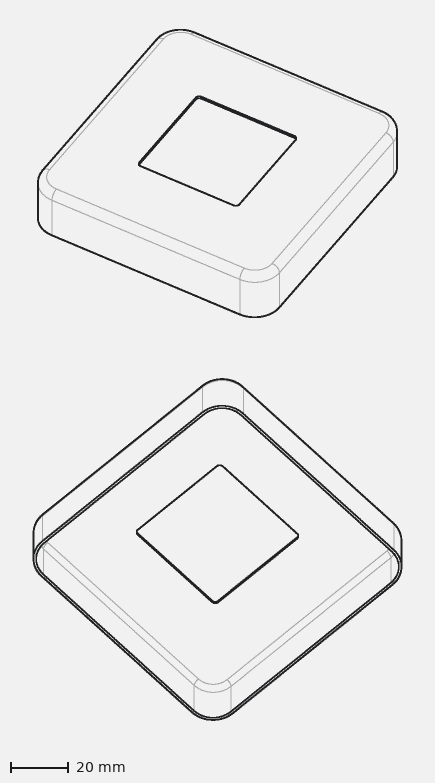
import cadquery as cq

side = 96.0
height = 20.0
corner_radius = 10.0
top_edge_radius = 3.0

wall = 1.0

opening_side = 40.4
opening_corner_radius = 1.4


def rounded_block(width, block_height, vertical_radius, top_radius):
    """Square block on the XY plane with rounded corners and a rounded top rim."""
    block = cq.Workplane("XY").rect(width, width).extrude(block_height)
    block = block.edges("|Z").fillet(vertical_radius)
    return block.faces(">Z").edges().fillet(top_radius)


def square_opening():
    """Tool for the rounded square opening, as tall as the cover."""
    tool = cq.Workplane("XY").rect(opening_side, opening_side).extrude(height)
    return tool.edges("|Z").fillet(opening_corner_radius)


outer = rounded_block(side, height, corner_radius, top_edge_radius)

cavity = rounded_block(
    side - 2 * wall,
    height - wall,
    corner_radius - wall,
    top_edge_radius - wall,
)

result = outer.cut(cavity).cut(square_opening())